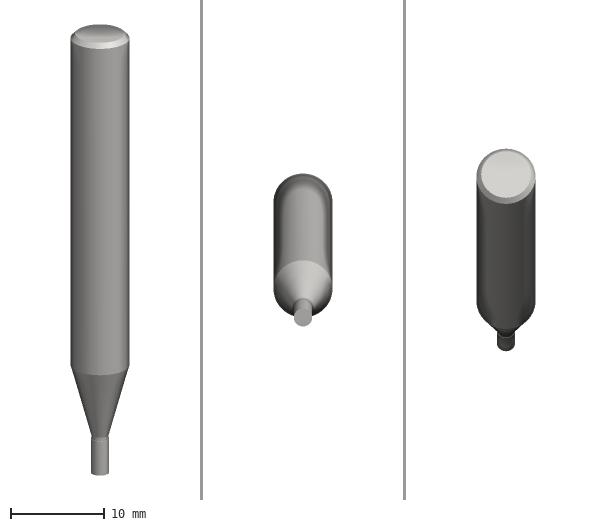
import cadquery as cq

total_length = 50.8
shank_diameter = 6.35
shank_chamfer = 0.5
taper_top_z = 12.5
taper_bottom_z = 4.35
neck_diameter = 1.9
cutter_diameter = 2.0
cutter_length = 3.95


def make_shank():
    """Chamfered round shank with a taper down to a short straight neck."""
    shank_radius = shank_diameter / 2
    neck_radius = neck_diameter / 2
    return (
        cq.Workplane("XZ")
        .moveTo(0, cutter_length)
        .lineTo(neck_radius, cutter_length)
        .lineTo(neck_radius, taper_bottom_z)
        .lineTo(shank_radius, taper_top_z)
        .lineTo(shank_radius, total_length - shank_chamfer)
        .lineTo(shank_radius - shank_chamfer, total_length)
        .lineTo(0, total_length)
        .close()
        .revolve(360, (0, 0, 0), (0, 1, 0))
    )


def make_cutter():
    """Plain cylindrical cutter head that meets the end of the neck."""
    return cq.Workplane("XY").circle(cutter_diameter / 2).extrude(cutter_length)


shank = make_shank()
cutter = make_cutter()
result = cq.Compound.makeCompound([shank.val(), cutter.val()])